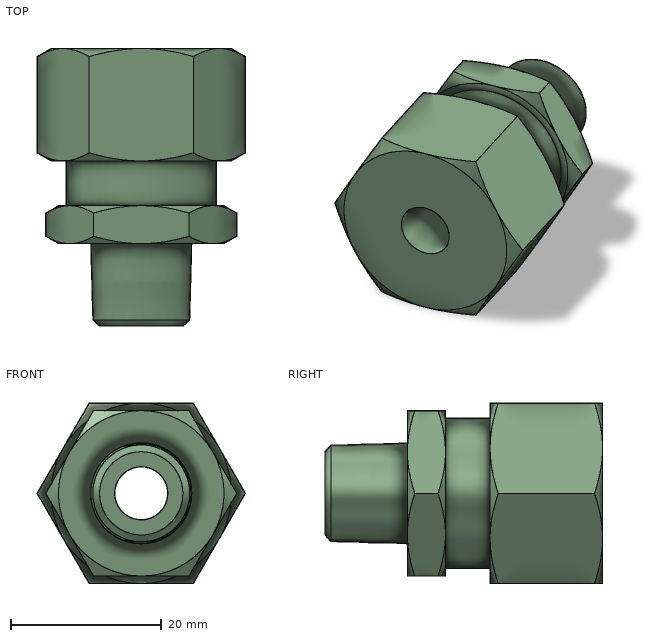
import cadquery as cq
import math

length = 36.9
nut_flats = 24.0
nut_length = 14.95
collar_diameter = 20.0
body_hex_flats = 22.0
body_hex_length = 5.05
thread_length = 10.95
thread_root_diameter = 13.45
thread_gauge_diameter = 13.17
thread_tip_diameter = 12.88
thread_gauge_length = 6.0
tip_chamfer = 0.8
tip_face_diameter = 11.07
bore_diameter = 7.0
hex_chamfer_angle = 30.0

tip_y = -length / 2
hex_start_y = tip_y + thread_length
hex_end_y = hex_start_y + body_hex_length
nut_end_y = length / 2
nut_start_y = nut_end_y - nut_length


def revolve_about_y(points):
    """Revolve a closed (radius, y) outline about the Y axis."""
    return cq.Workplane("XY").polyline(points).close().revolve(360, (0, 0, 0), (0, 1, 0))


def cylinder(diameter, start_y, end_y):
    radius = diameter / 2
    return revolve_about_y([(0, start_y), (radius, start_y), (radius, end_y), (0, end_y)])


def chamfered_hex(flats, start_y, end_y):
    """Hexagon with corners on X, its corners turned off conically at both ends."""
    corner_diameter = flats / math.cos(math.radians(30))
    prism = (
        cq.Workplane("XZ", origin=(0, end_y, 0))
        .polygon(6, corner_diameter)
        .extrude(end_y - start_y)
    )
    face_radius = flats / 2
    envelope_radius = corner_diameter
    drop = (envelope_radius - face_radius) * math.tan(math.radians(hex_chamfer_angle))
    middle_y = (start_y + end_y) / 2
    lower_cone = [(0, start_y), (face_radius, start_y), (envelope_radius, start_y + drop)]
    upper_cone = [(0, end_y), (face_radius, end_y), (envelope_radius, end_y - drop)]
    far_above = middle_y + length
    far_below = middle_y - length
    lower = revolve_about_y(lower_cone + [(envelope_radius, far_above), (0, far_above)])
    upper = revolve_about_y(upper_cone + [(envelope_radius, far_below), (0, far_below)])
    return prism.intersect(lower).intersect(upper)


def tapered_thread():
    """Plain tapered envelope of the male thread with a chamfered tip."""
    return revolve_about_y([
        (0, tip_y),
        (tip_face_diameter / 2, tip_y),
        (thread_tip_diameter / 2, tip_y + tip_chamfer),
        (thread_gauge_diameter / 2, tip_y + thread_gauge_length),
        (thread_root_diameter / 2, hex_start_y),
        (0, hex_start_y),
    ])


nut = chamfered_hex(nut_flats, nut_start_y, nut_end_y)
body_hex = chamfered_hex(body_hex_flats, hex_start_y, hex_end_y)
collar = cylinder(collar_diameter, hex_end_y, nut_start_y)
bore = cylinder(bore_diameter, tip_y, nut_end_y)

result = nut.union(collar).union(body_hex).union(tapered_thread()).cut(bore)